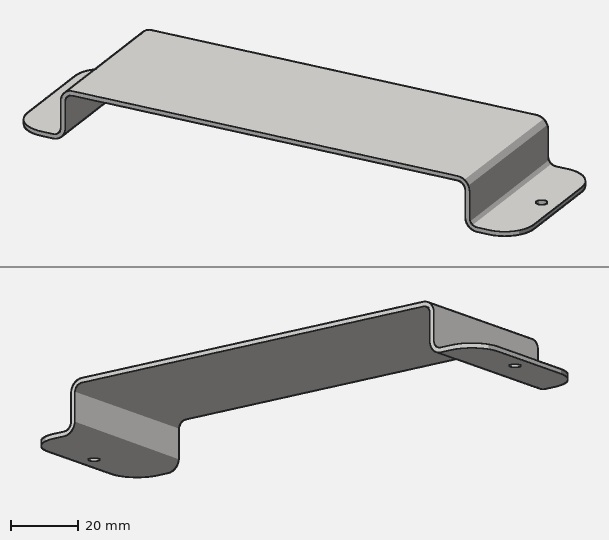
import cadquery as cq

length = 171.0
width = 50.0
height = 17.0
thickness = 1.5

bridge_length = 138.0
inner_bend_radius = 2.5
outer_bend_radius = inner_bend_radius + thickness

foot_corner_radius = 10.0
hole_diameter = 3.5
hole_spacing = 160.0


def hat_profile():
    """Sharp-cornered section of the sheet: two feet, two walls and a bridge."""
    outer = bridge_length / 2
    inner = outer - thickness
    end = length / 2
    bridge_underside = height - thickness
    return [
        (-end, 0),
        (-inner, 0),
        (-inner, bridge_underside),
        (inner, bridge_underside),
        (inner, 0),
        (end, 0),
        (end, thickness),
        (outer, thickness),
        (outer, height),
        (-outer, height),
        (-outer, thickness),
        (-end, thickness),
    ]


def edges_at(x, z):
    """Select the two bend edges along Y at height z, at plus and minus x."""
    reach = thickness / 4
    return cq.selectors.SumSelector(
        *[
            cq.selectors.BoxSelector(
                (side * x - reach, -width, z - reach),
                (side * x + reach, width, z + reach),
            )
            for side in (-1, 1)
        ]
    )


def bent_sheet():
    """Hat-shaped strip with concentric inside and outside bends."""
    outer = bridge_length / 2
    inner = outer - thickness
    sheet = cq.Workplane("XZ").polyline(hat_profile()).close().extrude(width / 2, both=True)
    bends = [
        (outer, height, outer_bend_radius),
        (inner, height - thickness, inner_bend_radius),
        (outer, thickness, inner_bend_radius),
        (inner, 0, outer_bend_radius),
    ]
    for x, z, radius in bends:
        sheet = sheet.edges("|Y").edges(edges_at(x, z)).fillet(radius)
    return sheet


def rounded_outline():
    """Block whose plan shape has the rounded foot corners."""
    block = cq.Workplane("XY").rect(length, width).extrude(height)
    return block.edges("|Z").fillet(foot_corner_radius)


def mounting_holes():
    """Cutters for one through hole in each foot."""
    return (
        cq.Workplane("XY")
        .pushPoints([(-hole_spacing / 2, 0), (hole_spacing / 2, 0)])
        .circle(hole_diameter / 2)
        .extrude(thickness)
    )


result = bent_sheet().intersect(rounded_outline()).cut(mounting_holes())